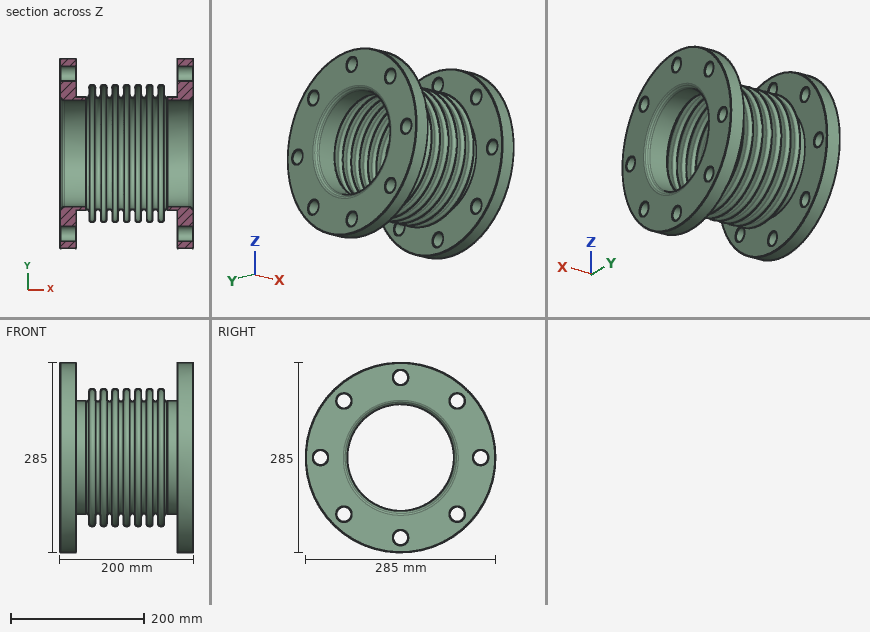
import cadquery as cq
import math

length = 200.0
flange_diameter = 285.0
flange_thickness = 24.5
edge_chamfer = 1.0

bolt_count = 8
bolt_hole_diameter = 22.0
bolt_circle_diameter = 240.0

pipe_outer_diameter = 170.5
pipe_inner_diameter = 159.3
mouth_diameter = 169.3
mouth_rounding = 4.0
pipe_end_x = 61.3

convolution_count = 7
convoluted_length = 120.5
crown_diameter = 207.0
root_diameter = 168.5
cuff_inner_diameter = 163.3
sheet_thickness = 1.0
crown_width = 10.0

half_length = length / 2
flange_inner_x = half_length - flange_thickness
pipe_outer_radius = pipe_outer_diameter / 2
pipe_inner_radius = pipe_inner_diameter / 2
mouth_chamfer = (mouth_diameter - pipe_inner_diameter) / 2
pitch = convoluted_length / convolution_count
bellows_half_length = convoluted_length / 2
crown_bend = crown_width / 2
root_bend = (pitch - crown_width) / 2


def revolve_about_x(profile):
    return profile.close().revolve(360, (0, 0, 0), (1, 0, 0))


def flange_with_pipe():
    """Flange and pipe stub at the +X end, with a rounded bevel at the mouth."""
    flange_radius = flange_diameter / 2
    bevel_x = half_length - mouth_chamfer
    bevel_radius = pipe_inner_radius + mouth_chamfer
    half_turn = math.radians(22.5)
    tangent_length = mouth_rounding * math.tan(half_turn)
    bevel_tangent = tangent_length * math.sqrt(0.5)
    arc_reach = mouth_rounding * math.sin(half_turn)
    arc_sag = mouth_rounding * (1 - math.cos(half_turn))
    profile = (
        cq.Workplane("XY")
        .moveTo(pipe_end_x, pipe_inner_radius)
        .lineTo(pipe_end_x, pipe_outer_radius)
        .lineTo(flange_inner_x, pipe_outer_radius)
        .lineTo(flange_inner_x, flange_radius - edge_chamfer)
        .lineTo(flange_inner_x + edge_chamfer, flange_radius)
        .lineTo(half_length - edge_chamfer, flange_radius)
        .lineTo(half_length, flange_radius - edge_chamfer)
        .lineTo(half_length, bevel_radius + tangent_length)
        .threePointArc(
            (half_length - arc_sag, bevel_radius + tangent_length - arc_reach),
            (half_length - bevel_tangent, bevel_radius - bevel_tangent),
        )
        .lineTo(bevel_x + bevel_tangent, pipe_inner_radius + bevel_tangent)
        .threePointArc(
            (bevel_x - tangent_length + arc_reach, pipe_inner_radius + arc_sag),
            (bevel_x - tangent_length, pipe_inner_radius),
        )
    )
    return revolve_about_x(profile).cut(bolt_holes())


def bolt_holes():
    """Bolt holes of the +X flange, chamfered at both faces."""
    hole_radius = bolt_hole_diameter / 2
    mouth_radius = hole_radius + edge_chamfer
    hole = (
        cq.Workplane("XY")
        .moveTo(flange_inner_x, 0)
        .lineTo(flange_inner_x, mouth_radius)
        .lineTo(flange_inner_x + edge_chamfer, hole_radius)
        .lineTo(half_length - edge_chamfer, hole_radius)
        .lineTo(half_length, mouth_radius)
        .lineTo(half_length, 0)
    )
    cutter = revolve_about_x(hole).translate((0, bolt_circle_diameter / 2, 0))
    holes = cq.Workplane("XY")
    for i in range(bolt_count):
        holes = holes.add(cutter.rotate((0, 0, 0), (1, 0, 0), i * 360 / bolt_count))
    return holes.combine()


def trace_waves(profile, direction, top, bottom, crest_radius, valley_radius):
    """Draw one skin of the bellows along X; direction is +1 or -1."""
    diagonal = math.sqrt(0.5)
    crown_y = top - crest_radius
    root_y = bottom + valley_radius
    for i in range(convolution_count):
        centre = direction * (i * pitch - bellows_half_length + pitch / 2)
        rise_x = centre - direction * crest_radius
        fall_x = centre + direction * crest_radius
        start_x = centre - direction * pitch / 2
        end_x = centre + direction * pitch / 2
        root_across = direction * valley_radius * diagonal
        root_up = valley_radius * (1 - diagonal)
        profile = (
            profile.threePointArc((start_x + root_across, bottom + root_up), (rise_x, root_y))
            .lineTo(rise_x, crown_y)
            .threePointArc((centre, top), (fall_x, crown_y))
            .lineTo(fall_x, root_y)
            .threePointArc((end_x - root_across, bottom + root_up), (end_x, bottom))
        )
    return profile


def bellows():
    """Corrugated sheet with a short thicker cuff at each end."""
    top = crown_diameter / 2
    bottom = root_diameter / 2
    inner_bottom = bottom - sheet_thickness
    cuff_radius = cuff_inner_diameter / 2
    profile = (
        cq.Workplane("XY")
        .moveTo(-pipe_end_x, cuff_radius)
        .lineTo(-pipe_end_x, bottom)
        .lineTo(-bellows_half_length, bottom)
    )
    profile = trace_waves(profile, 1, top, bottom, crown_bend, root_bend)
    profile = (
        profile.lineTo(pipe_end_x, bottom)
        .lineTo(pipe_end_x, cuff_radius)
        .lineTo(bellows_half_length, cuff_radius)
        .lineTo(bellows_half_length, inner_bottom)
    )
    profile = trace_waves(
        profile,
        -1,
        top - sheet_thickness,
        inner_bottom,
        crown_bend - sheet_thickness,
        root_bend + sheet_thickness,
    )
    profile = profile.lineTo(-bellows_half_length, cuff_radius)
    return revolve_about_x(profile)


right_end = flange_with_pipe()
left_end = right_end.mirror("YZ")
result = bellows().union(right_end).union(left_end)